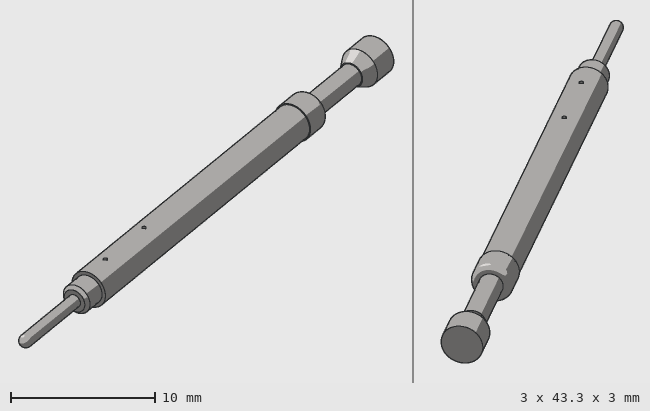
import cadquery as cq
import math

LENGTH = 43.3

HEAD_RADIUS = 3.0 / 2
NECK_RADIUS = 1.9 / 2
PLUNGER_RADIUS = 1.75 / 2
COLLAR_RADIUS = HEAD_RADIUS
BARREL_RADIUS = 2.8 / 2
TAIL_RADIUS = 2.25 / 2
PIN_RADIUS = 1.0 / 2

HEAD_LENGTH = 2.0
SHOULDER_LENGTH = 1.05
PLUNGER_LENGTH = 5.05
COLLAR_LENGTH = 2.1
BARREL_LENGTH = 24.95
TAIL_LENGTH = 1.75

COLLAR_ROUND = 0.4
TAIL_CHAMFER = 0.25

DIMPLE_COUNT = 2
DIMPLE_RADIUS = 0.15
DIMPLE_DEPTH = 0.17
FIRST_DIMPLE_FROM_BARREL_END = 2.05
DIMPLE_SPACING = 4.7

shoulder_start = LENGTH - HEAD_LENGTH
shoulder_end = shoulder_start - SHOULDER_LENGTH
collar_start = shoulder_end - PLUNGER_LENGTH
barrel_start = collar_start - COLLAR_LENGTH
barrel_end = barrel_start - BARREL_LENGTH
tail_end = barrel_end - TAIL_LENGTH

def make_turned_body():
    """Half profile (radius along X, length along Y) revolved about the Y axis."""
    dome_middle = PIN_RADIUS * math.sqrt(0.5)
    profile = (
        cq.Workplane("XY")
        .moveTo(0, 0)
        .threePointArc((dome_middle, PIN_RADIUS - dome_middle), (PIN_RADIUS, PIN_RADIUS))
        .lineTo(PIN_RADIUS, tail_end)
        .lineTo(TAIL_RADIUS - TAIL_CHAMFER, tail_end)
        .lineTo(TAIL_RADIUS, tail_end + TAIL_CHAMFER)
        .lineTo(TAIL_RADIUS, barrel_end)
        .lineTo(BARREL_RADIUS, barrel_end)
        .lineTo(BARREL_RADIUS, barrel_start)
        .lineTo(COLLAR_RADIUS, barrel_start)
        .lineTo(COLLAR_RADIUS, collar_start - COLLAR_ROUND)
        .tangentArcPoint((-COLLAR_ROUND, COLLAR_ROUND))
        .lineTo(PLUNGER_RADIUS, collar_start)
        .lineTo(PLUNGER_RADIUS, shoulder_end)
        .lineTo(NECK_RADIUS, shoulder_end)
        .lineTo(HEAD_RADIUS, shoulder_start)
        .lineTo(HEAD_RADIUS, LENGTH)
        .lineTo(0, LENGTH)
        .close()
    )
    return profile.revolve(360, (0, 0, 0), (0, 1, 0))

def make_dimple(y):
    """Short vertical cutter entering the top of the barrel."""
    return (
        cq.Workplane("XY", origin=(0, y, BARREL_RADIUS - DIMPLE_DEPTH))
        .circle(DIMPLE_RADIUS)
        .extrude(DIMPLE_DEPTH)
    )

result = make_turned_body()
for index in range(DIMPLE_COUNT):
    dimple_y = barrel_end + FIRST_DIMPLE_FROM_BARREL_END + index * DIMPLE_SPACING
    result = result.cut(make_dimple(dimple_y))